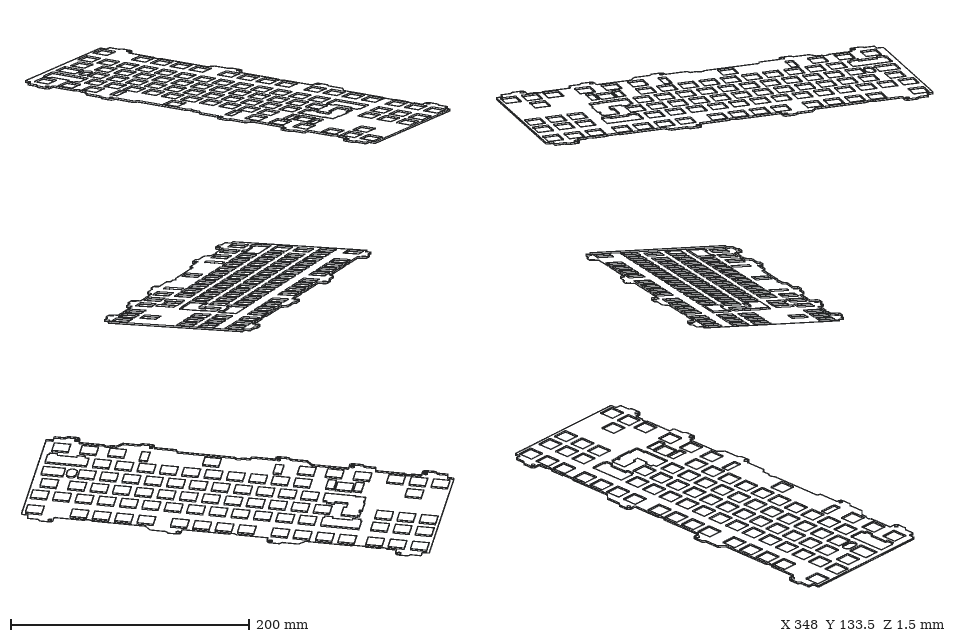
import cadquery as cq


LENGTH = 348.0
DEPTH = 133.5
THICKNESS = 1.5
BODY_EDGE = 59.2
EDGE_ROUND = 1.0

COLUMN_SPAN = 328.5
COLUMN_UNITS = 17.25
LAYOUT_UNITS = COLUMN_UNITS + 1
ROW_UNITS = 5.25
UNIT = COLUMN_SPAN / COLUMN_UNITS
FUNCTION_ROW = 0
NUMBER_ROW = 1.25
UPPER_ROW = 2.25
HOME_ROW = 3.25
SHIFT_ROW = 4.25
BOTTOM_ROW = ROW_UNITS

CELL_MARGIN = 2.55
SWITCH_SIZE = UNIT - 2 * CELL_MARGIN
CUTOUT_ROUND = 0.52
STABILISER_WIDTH = 7.0
STABILISER_LONG = 9.5
STABILISER_SHORT = 6.3
STABILISER_OFFSET = 12.0
SPACE_STABILISER_OFFSET = 3 * UNIT
CAPS_SLOT_X = -143.8
CAPS_SLOT_WIDTH = 8.5

SCREW_DIAMETER = 3.2
SCREW_INSET = 2.8
SCREW_Y = DEPTH / 2 - SCREW_INSET
SHELF_EDGE = 64.5
HEAD_STEP = 8.0
STEP_RUN = 2.0
SLOPE_RUN = 5.0
LEDGE_EDGE = 62.3
LEDGE_SLOPE = 0.3

CORNER_TABS = [(-149.0, -168.0, 0), (149.0, 168.0, 0)]
BACK_TABS = CORNER_TABS + [(-39.7, -63.5, SLOPE_RUN), (39.5, 63.5, SLOPE_RUN)]
FRONT_TABS = CORNER_TABS + [
    (-85.3, -109.3, SLOPE_RUN),
    (23.5, 48.0, SLOPE_RUN),
    (86.7, 107.0, 0),
]
FRONT_LEDGES = [(-85.3, -63.5), (23.5, 1.0)]

RELIEF_RADIUS = 4.0
RELIEF_DEPTH = 1.55
BACK_RELIEFS = [-117.3, 6.3, 135.0]
FRONT_RELIEFS = [-122.0, -10.0, 135.0]
FLAT_RELIEF_START = 108.0
FLAT_RELIEF_END = 119.5
FLAT_RELIEF_DEPTH = 1.0


def key_point(column, row):
    """Centre of a key from its place in key units, counted from the first row and the left end."""
    return ((column - LAYOUT_UNITS / 2) * UNIT, (ROW_UNITS / 2 - row) * UNIT)


def key_run(first, count):
    """Columns of a run of single-unit keys."""
    return [first + i for i in range(count)]


def prism(points):
    return cq.Workplane("XY").polyline(points).close().extrude(THICKNESS)


def rounded_cutter(center, width, height):
    return (
        cq.Workplane("XY")
        .center(*center)
        .rect(width, height)
        .extrude(THICKNESS)
        .edges("|Z")
        .fillet(CUTOUT_ROUND)
        .val()
    )




def tab(screw_x, far_x, slope_run, side):
    """Screw tab on the +Y (side = 1) or -Y (side = -1) edge, rooted inside the sheet."""
    toward = 1 if far_x > screw_x else -1
    near_x = screw_x - toward * SCREW_INSET
    step_x = screw_x + toward * HEAD_STEP
    foot_x = far_x + toward * slope_run
    profile = [
        (near_x, 0),
        (near_x, DEPTH / 2),
        (step_x, DEPTH / 2),
        (step_x + toward * STEP_RUN, SHELF_EDGE),
        (far_x, SHELF_EDGE),
        (foot_x, BODY_EDGE),
        (foot_x, 0),
    ]
    return prism([(x, side * y) for x, y in profile])


def ledge(inner_x, outer_x):
    toward = 3.5 if outer_x > inner_x else -3.5
    foot_x = outer_x + toward * LEDGE_SLOPE
    return prism(
        [(inner_x, 0), (inner_x, -LEDGE_EDGE), (outer_x, -LEDGE_EDGE), (foot_x, -BODY_EDGE), (foot_x, 0)]
    )


def is_head_corner(edge):
    """True for the outer corner of a tab, beside its screw hole."""
    point = edge.Center()
    tabs = BACK_TABS if point.y > 0 else FRONT_TABS
    at_outer_side = abs(point.y) > SCREW_Y + SCREW_INSET / 2
    return at_outer_side and any(abs(point.x - screw_x) < 2 * SCREW_INSET for screw_x, _, _ in tabs)


def make_sheet():
    sheet = cq.Workplane("XY").rect(LENGTH, 2 * BODY_EDGE).extrude(THICKNESS)
    for back_tab in BACK_TABS:
        sheet = sheet.union(tab(*back_tab, 1))
    for front_tab in FRONT_TABS:
        sheet = sheet.union(tab(*front_tab, -1))
    for front_ledge in FRONT_LEDGES:
        sheet = sheet.union(ledge(*front_ledge))
    sheet = sheet.edges("|Z").filter(lambda edge: not is_head_corner(edge)).fillet(EDGE_ROUND)
    return sheet.edges("|Z").filter(is_head_corner).fillet(SCREW_INSET)


def edge_reliefs():
    center_y = BODY_EDGE - RELIEF_DEPTH + RELIEF_RADIUS
    centers = [(x, center_y) for x in BACK_RELIEFS] + [(x, -center_y) for x in FRONT_RELIEFS]
    round_reliefs = cq.Workplane("XY").pushPoints(centers).circle(RELIEF_RADIUS).extrude(THICKNESS)
    flat_relief = (
        cq.Workplane("XY")
        .center((FLAT_RELIEF_START + FLAT_RELIEF_END) / 2, BODY_EDGE)
        .rect(FLAT_RELIEF_END - FLAT_RELIEF_START, 2 * FLAT_RELIEF_DEPTH)
        .extrude(THICKNESS)
    )
    return round_reliefs.union(flat_relief)


def screw_holes():
    centers = [(x, SCREW_Y) for x, _, _ in BACK_TABS] + [(x, -SCREW_Y) for x, _, _ in FRONT_TABS]
    return cq.Workplane("XY").pushPoints(centers).circle(SCREW_DIAMETER / 2).extrude(THICKNESS)



NAVIGATION = key_run(15.75, 3)
ARROW_UP = 16.75
BACKSPACE = 14
ENTER = 13.875
LEFT_SHIFT = 1.125
RIGHT_SHIFT = 13.625
SPACE = 7.5
TALL_ENTER = 14.375
TALL_ENTER_ROW = (UPPER_ROW + HOME_ROW) / 2

SWITCHES = {
    FUNCTION_ROW: [0.5] + key_run(2.5, 4) + key_run(7, 4) + key_run(11.5, 4) + NAVIGATION,
    NUMBER_ROW: key_run(0.5, 13) + [13.5, BACKSPACE, 14.5] + NAVIGATION,
    UPPER_ROW: [0.75] + key_run(2, 12) + [14.25] + NAVIGATION,
    TALL_ENTER_ROW: [TALL_ENTER],
    HOME_ROW: [0.625, 0.875] + key_run(2.25, 11) + [13.25, ENTER],
    SHIFT_ROW: [0.625, LEFT_SHIFT, 1.75] + key_run(2.75, 10) + [RIGHT_SHIFT, ARROW_UP],
    BOTTOM_ROW: [0.75, 2, 3.25, SPACE, 11.75, 13, 14.25] + NAVIGATION,
}


def switch_cutters():
    return [
        rounded_cutter(key_point(column, row), SWITCH_SIZE, SWITCH_SIZE)
        for row, columns in SWITCHES.items()
        for column in columns
    ]


def stabiliser_cutters(column, row, offset, wire_side):
    """Pair of cutouts beside a key, reaching further toward wire_side (1 is +Y, -1 is -Y)."""
    x, y = key_point(column, row)
    center_y = y + wire_side * (STABILISER_LONG - STABILISER_SHORT) / 2
    height = STABILISER_LONG + STABILISER_SHORT
    return [rounded_cutter((x + side * offset, center_y), STABILISER_WIDTH, height) for side in (-1, 1)]


def tall_enter_stabiliser_cutters():
    """Pair of cutouts above and below the tall enter key, with the wire on its -X side."""
    x, y = key_point(TALL_ENTER, TALL_ENTER_ROW)
    center_x = x - (STABILISER_LONG - STABILISER_SHORT) / 2
    width = STABILISER_LONG + STABILISER_SHORT
    return [
        rounded_cutter((center_x, y + side * STABILISER_OFFSET), width, STABILISER_WIDTH) for side in (-1, 1)
    ]


def caps_slot():
    center_y = key_point(0, HOME_ROW)[1]
    return (
        cq.Workplane("XY")
        .center(CAPS_SLOT_X, center_y)
        .slot2D(SWITCH_SIZE, CAPS_SLOT_WIDTH, 90)
        .extrude(THICKNESS)
    )


cutters = switch_cutters()
cutters += stabiliser_cutters(BACKSPACE, NUMBER_ROW, STABILISER_OFFSET, -1)
cutters += stabiliser_cutters(ENTER, HOME_ROW, STABILISER_OFFSET, 1)
cutters += stabiliser_cutters(LEFT_SHIFT, SHIFT_ROW, STABILISER_OFFSET, -1)
cutters += stabiliser_cutters(RIGHT_SHIFT, SHIFT_ROW, STABILISER_OFFSET, -1)
cutters += stabiliser_cutters(SPACE, BOTTOM_ROW, SPACE_STABILISER_OFFSET, 1)
cutters += tall_enter_stabiliser_cutters()

sheet = make_sheet().cut(edge_reliefs()).cut(screw_holes()).cut(caps_slot())
result = cq.Workplane(sheet.val().cut(*cutters).Solids()[0])